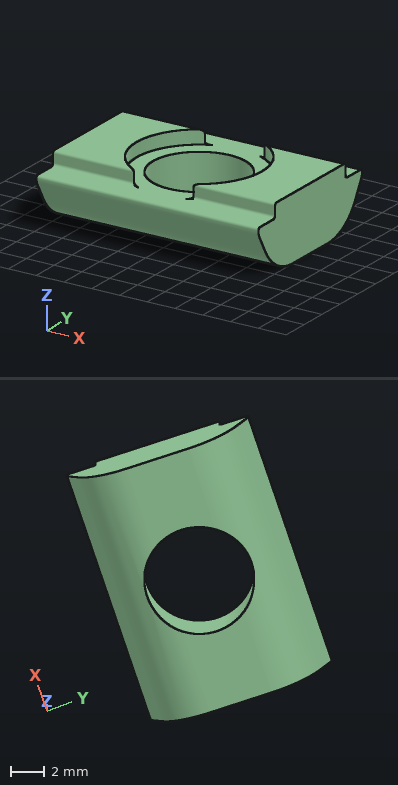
import cadquery as cq
import math

length = 16.0
width = 11.6
height = 4.6

tongue_width = 7.9
tongue_height = 1.0
tongue_edge_radius = 0.2
tongue_root_radius = 0.2

rim_radius = 0.2
shoulder_radius = 1.0
flank_angle = math.radians(60)
belly_radius = 3.5

hole_diameter = 6.64
recess_diameter = 9.0

half_width = width / 2
half_tongue = tongue_width / 2
ledge_z = height - tongue_height


def arc_point(center, radius, angle):
    """Point on a circle in the YZ plane, with the angle measured from +Y."""
    return (center[0] + radius * math.cos(angle), center[1] + radius * math.sin(angle))


def make_half_body():
    """Extrude the +Y half of the cross-section along X."""
    shoulder_center = (half_width - shoulder_radius, ledge_z - rim_radius)
    flank_normal = flank_angle - math.pi / 2
    flank_top = arc_point(shoulder_center, shoulder_radius, flank_normal)

    flank_bottom_z = belly_radius * (1 - math.cos(flank_angle))
    flank_run = (flank_top[1] - flank_bottom_z) / math.tan(flank_angle)
    flank_bottom = (flank_top[0] - flank_run, flank_bottom_z)
    belly_center = (flank_bottom[0] - belly_radius * math.sin(flank_angle), belly_radius)

    rim_center = (half_width - rim_radius, ledge_z - rim_radius)
    root_center = (half_tongue + tongue_root_radius, ledge_z + tongue_root_radius)
    edge_center = (half_tongue - tongue_edge_radius, height - tongue_edge_radius)
    diagonal = math.pi / 4

    profile = (
        cq.Workplane("YZ", origin=(-length / 2, 0, 0))
        .lineTo(belly_center[0], 0)
        .threePointArc(
            arc_point(belly_center, belly_radius, (flank_normal - math.pi / 2) / 2),
            flank_bottom,
        )
        .lineTo(*flank_top)
        .threePointArc(
            arc_point(shoulder_center, shoulder_radius, flank_normal / 2),
            (half_width, shoulder_center[1]),
        )
        .threePointArc(arc_point(rim_center, rim_radius, diagonal), (rim_center[0], ledge_z))
        .lineTo(root_center[0], ledge_z)
        .threePointArc(
            arc_point(root_center, tongue_root_radius, math.pi + diagonal),
            (half_tongue, root_center[1]),
        )
        .lineTo(half_tongue, edge_center[1])
        .threePointArc(
            arc_point(edge_center, tongue_edge_radius, diagonal),
            (edge_center[0], height),
        )
        .lineTo(0, height)
        .close()
    )
    return profile.extrude(length)


half_body = make_half_body()
body = half_body.union(half_body.mirror("XZ")).clean()

hole = cq.Workplane("XY").circle(hole_diameter / 2).extrude(height)
recess = cq.Workplane("XY", origin=(0, 0, ledge_z)).circle(recess_diameter / 2).extrude(tongue_height)

result = body.cut(hole).cut(recess)